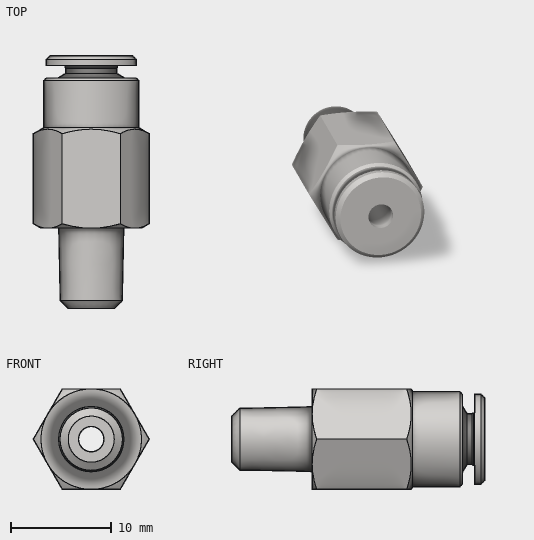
import cadquery as cq
import math

total_length = 25.2
collar_thickness = 1.0
body_end_depth = 2.22
neck_rim_end_depth = 1.13
neck_taper_end_depth = 1.29
neck_end_depth = 1.76
hex_start_depth = 7.18
hex_length = 10.0

bore_diameter = 2.5
collar_radius = 9.0 / 2
neck_radius = 5.1 / 2
neck_rim_radius = 2.62
body_radius = 9.5 / 2
neck_cone_radius = 3.3
hex_across_flats = 10.0
stud_root_radius = 3.25
stud_tip_radius = 3.1

collar_chamfer = 0.4
body_chamfer = 0.28
stud_chamfer = 0.8
hex_chamfer_angle = 30.0

collar_base = total_length - collar_thickness
neck_rim_base = total_length - neck_rim_end_depth
neck_taper_base = total_length - neck_taper_end_depth
neck_base = total_length - neck_end_depth
shoulder = total_length - body_end_depth
hex_top = total_length - hex_start_depth
hex_bottom = hex_top - hex_length
hex_corner_radius = hex_across_flats / 2 / math.cos(math.radians(30))


def revolve_profile(points):
    """Revolve (radius, axial position) points about the Y axis."""
    return cq.Workplane("XY").polyline(points).close().revolve(360, (0, 0), (0, 1))


def hex_chamfer_height(face_radius):
    """Axial height of the conical chamfer from the face circle to the corners."""
    return (hex_corner_radius - face_radius) * math.tan(math.radians(hex_chamfer_angle))


def make_hexagon():
    """Hexagon with flats facing +Z and -Z and conically chamfered ends."""
    prism = (
        cq.Workplane("XZ", origin=(0, hex_top, 0))
        .polygon(6, 2 * hex_corner_radius)
        .extrude(hex_length)
    )
    top_face_radius = body_radius
    bottom_face_radius = hex_across_flats / 2
    envelope = revolve_profile([
        (0, hex_bottom),
        (bottom_face_radius, hex_bottom),
        (hex_corner_radius, hex_bottom + hex_chamfer_height(bottom_face_radius)),
        (hex_corner_radius, hex_top - hex_chamfer_height(top_face_radius)),
        (top_face_radius, hex_top),
        (0, hex_top),
    ])
    return prism.intersect(envelope)


def make_turned_body():
    """Tapered stud, cylindrical body, neck and release collar."""
    return revolve_profile([
        (0, 0),
        (stud_tip_radius - stud_chamfer, 0),
        (stud_tip_radius, stud_chamfer),
        (stud_root_radius, hex_bottom),
        (body_radius, hex_bottom),
        (body_radius, shoulder - body_chamfer),
        (body_radius - body_chamfer, shoulder),
        (neck_cone_radius, shoulder),
        (neck_radius, neck_base),
        (neck_radius, neck_taper_base),
        (neck_rim_radius, neck_rim_base),
        (neck_rim_radius, collar_base),
        (collar_radius, collar_base),
        (collar_radius, total_length - collar_chamfer),
        (collar_radius - collar_chamfer, total_length),
        (0, total_length),
    ])


def make_bore():
    """Through bore along the axis."""
    return (
        cq.Workplane("XZ", origin=(0, total_length, 0))
        .circle(bore_diameter / 2)
        .extrude(total_length)
    )


part = make_turned_body().union(make_hexagon()).cut(make_bore())
result = part.translate((0, -total_length / 2, 0))